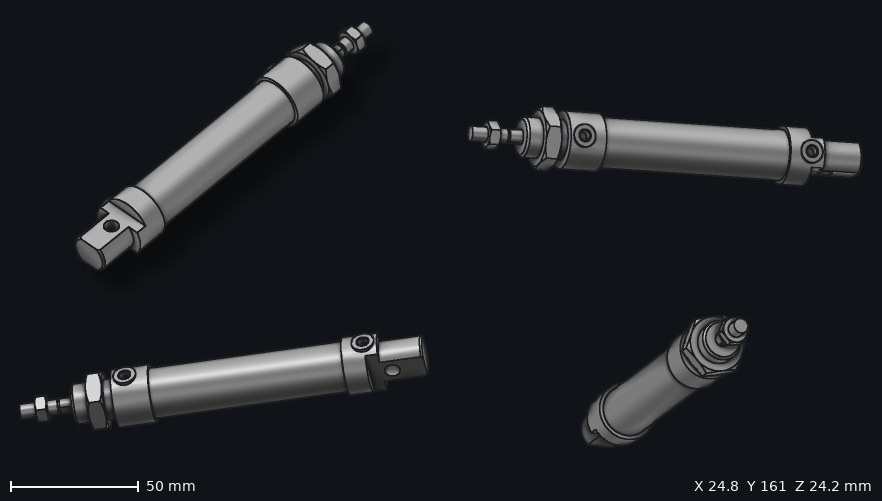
import cadquery as cq
import math

overall_length = 161.0

shoulder_y = 17.2
flats_front_y = 22.0
rear_head_front_y = 31.4
front_head_rear_y = 108.4
front_head_front_y = 123.2
collar_front_y = 139.9
mount_nut_y = 126.9
rod_nut_y = 150.0
groove_rear_y = 145.2
groove_front_y = 146.0

head_diameter = 23.0
tube_diameter = 20.0
collar_diameter = 16.0
collar_chamfer = 1.0
tang_chamfer = 0.8
tang_thickness = 12.0
pivot_diameter = 6.0
pivot_y = 13.0

port_positions = [22.7, 117.5]
boss_diameter = 9.0
boss_face_x = -11.9
port_diameter = 4.2
port_mouth_diameter = 5.0
port_depth = 4.0

rod_diameter = 6.0
groove_diameter = 5.0
rod_flats_width = 5.0
rod_flats_rear_y = 141.4

mount_nut_flats = 22.0
mount_nut_thickness = 6.5
mount_nut_turn = 12.0
rod_nut_flats = 10.0
rod_nut_thickness = 4.5
rod_nut_turn = 10.0
nut_chamfer_angle = 30.0


def cylinder(diameter, start_y, end_y):
    """A round bar along Y."""
    plane = cq.Workplane("XZ", origin=(0, start_y, 0))
    return plane.circle(diameter / 2).extrude(start_y - end_y)


def tang_flats_cut():
    """Material removed above and below the tang to leave its two flats."""
    height = head_diameter
    bar = cq.Workplane("XY").box(2 * head_diameter, flats_front_y, height)
    bar = bar.translate((0, flats_front_y / 2, 0))
    offset = (tang_thickness + height) / 2
    return bar.translate((0, 0, offset)).union(bar.translate((0, 0, -offset)))


def port_cylinder(diameter, y, start_x, length):
    """A round bar along +X, centred on a port."""
    plane = cq.Workplane("YZ", origin=(start_x, y, 0))
    return plane.circle(diameter / 2).extrude(length)


def port_hole(y):
    """A blind port with a 45 degree countersunk mouth."""
    mouth_depth = (port_mouth_diameter - port_diameter) / 2
    mouth = (
        cq.Workplane("YZ", origin=(boss_face_x, y, 0))
        .circle(port_mouth_diameter / 2)
        .workplane(offset=mouth_depth)
        .circle(port_diameter / 2)
        .loft()
    )
    return port_cylinder(port_diameter, y, boss_face_x, port_depth).union(mouth)


def make_housing():
    """Tang, rear head, tube, front head and threaded collar in one solid."""
    tang = cylinder(collar_diameter, 0, shoulder_y).faces("<Y").chamfer(tang_chamfer)
    rear_head = cylinder(head_diameter, shoulder_y, rear_head_front_y)
    tube = cylinder(tube_diameter, rear_head_front_y, front_head_rear_y)
    front_head = cylinder(head_diameter, front_head_rear_y, front_head_front_y)
    collar = cylinder(collar_diameter, front_head_front_y, collar_front_y)
    collar = collar.faces(">Y").chamfer(collar_chamfer)
    body = tang.union(rear_head).union(tube).union(front_head).union(collar)

    body = body.cut(tang_flats_cut())
    pivot = cq.Workplane("XY").center(0, pivot_y).circle(pivot_diameter / 2)
    body = body.cut(pivot.extrude(tang_thickness, both=True))

    for y in port_positions:
        body = body.union(port_cylinder(boss_diameter, y, boss_face_x, -boss_face_x))
        body = body.cut(port_hole(y))
    return body


def rod_flat_cut():
    """Material removed from the top of the rod by one wrench flat with a sloped rear end."""
    flat_z = rod_flats_width / 2
    slope_rise = rod_diameter - flat_z
    profile = [
        (groove_rear_y, flat_z),
        (rod_flats_rear_y, flat_z),
        (rod_flats_rear_y - slope_rise, flat_z + slope_rise),
        (groove_rear_y, flat_z + slope_rise),
    ]
    return cq.Workplane("YZ").polyline(profile).close().extrude(rod_diameter, both=True)


def make_rod():
    """Piston rod standing on the collar, with wrench flats and a thread relief groove."""
    base = cylinder(rod_diameter, collar_front_y, groove_rear_y)
    top_cut = rod_flat_cut()
    base = base.cut(top_cut).cut(top_cut.mirror("XY"))
    groove = cylinder(groove_diameter, groove_rear_y, groove_front_y)
    thread = cylinder(rod_diameter, groove_front_y, overall_length)
    return base.union(groove).union(thread)


def make_nut(across_flats, thickness, bore, start_y, turn):
    """A hexagon nut with both ends chamfered down to the flats."""
    corner_radius = across_flats / math.sqrt(3)
    face_radius = across_flats / 2
    drop = (corner_radius - face_radius) * math.tan(math.radians(nut_chamfer_angle))
    hexagon = cq.Workplane("XZ").polygon(6, 2 * corner_radius).extrude(-thickness)
    profile = [
        (0, 0),
        (face_radius, 0),
        (corner_radius, drop),
        (corner_radius, thickness - drop),
        (face_radius, thickness),
        (0, thickness),
    ]
    envelope = cq.Workplane("XY").polyline(profile).close().revolve(360, (0, 0), (0, 1))
    nut = hexagon.intersect(envelope).cut(cylinder(bore, 0, thickness))
    return nut.rotate((0, 0, 0), (0, 1, 0), turn).translate((0, start_y, 0))


housing = make_housing()
rod = make_rod()
mount_nut = make_nut(
    mount_nut_flats, mount_nut_thickness, collar_diameter, mount_nut_y, mount_nut_turn
)
rod_nut = make_nut(rod_nut_flats, rod_nut_thickness, rod_diameter, rod_nut_y, rod_nut_turn)

result = cq.Compound.makeCompound([housing.val(), rod.val(), mount_nut.val(), rod_nut.val()])